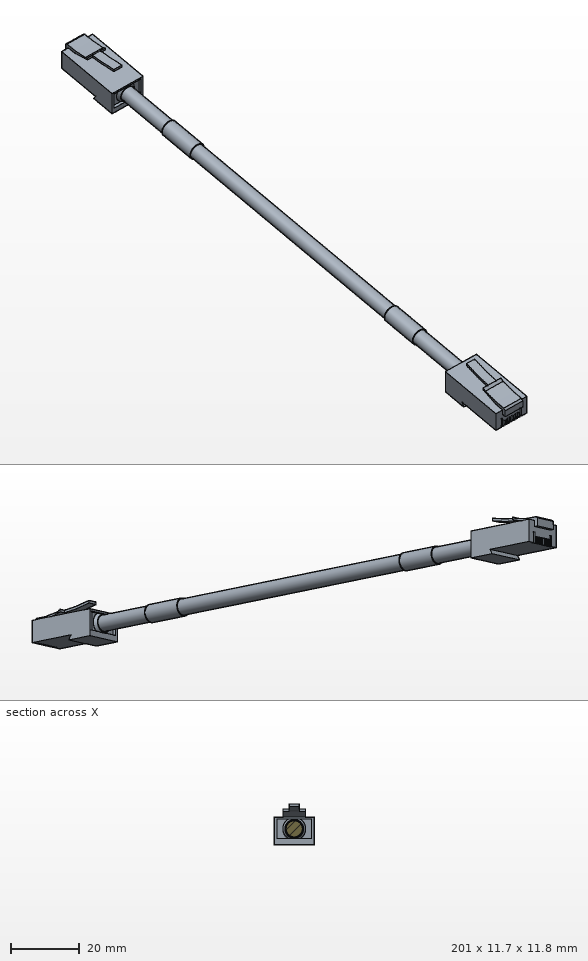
import cadquery as cq

half_length = 100.5

cable_diameter = 4.8
sleeve_diameter = 5.5
sleeve_start = 43.3
sleeve_length = 12.9

housing_width = 11.7
housing_top = 3.5
nose_bottom = -3.2
heel_bottom = -4.6
nose_face = 1.2
housing_rear = 24.3
heel_upper_start = 16.7
heel_lower_start = 15.9

pocket_wall = 0.8
pocket_top = 2.8
pocket_bottom = -2.8
pocket_depth = 1.0
collar_mouth_diameter = 5.2
collar_root_diameter = 6.6
pocket_floor = housing_rear - pocket_depth

latch_width = 6.6
lever_width = 3.0
latch_thickness = 0.8
latch_bottom = 1.6
latch_top = housing_top + 1.09
latch_chamfer_length = 0.7
latch_chamfer_height = 0.5
ramp_start = 4.0
ramp_end = 9.0
ramp_top = latch_top + 0.7
step_end = 10.0
step_top = ramp_top + 0.6
bend_start = 14.5
bend_top = step_top + 0.42
lever_end = 20.0
lever_top = 7.2

slot_count = 8
slot_pitch = 1.0
slot_width = 0.48
slot_height = 2.0
outer_slot_height = 3.2
slot_depth = 0.6


def make_tube(start, end, outer_diameter, inner_diameter=0.0):
    """Round bar or ring about the X axis from start to end."""
    inner_radius = inner_diameter / 2
    outer_radius = outer_diameter / 2
    profile = [(start, inner_radius), (end, inner_radius), (end, outer_radius), (start, outer_radius)]
    return cq.Workplane("XZ").polyline(profile).close().revolve(360, (0, 0), (1, 0))


def make_prism(points, width):
    """Side outline in the XZ plane, extruded symmetrically about the XZ plane."""
    return cq.Workplane("XZ").polyline(points).close().extrude(width / 2, both=True)


def make_housing():
    outline = [
        (nose_face, housing_top),
        (housing_rear, housing_top),
        (housing_rear, heel_bottom),
        (heel_lower_start, heel_bottom),
        (heel_upper_start, nose_bottom),
        (nose_face, nose_bottom),
    ]
    return make_prism(outline, housing_width)


def make_pocket():
    pocket = [
        (pocket_floor, pocket_top),
        (housing_rear, pocket_top),
        (housing_rear, pocket_bottom),
        (pocket_floor, pocket_bottom),
    ]
    return make_prism(pocket, housing_width - 2 * pocket_wall)


def make_collar():
    """Cone around the cable, widening from the rear of the housing to the pocket floor."""
    profile = [
        (pocket_floor, cable_diameter / 2),
        (housing_rear, cable_diameter / 2),
        (housing_rear, collar_mouth_diameter / 2),
        (pocket_floor, collar_root_diameter / 2),
    ]
    return cq.Workplane("XZ").polyline(profile).close().revolve(360, (0, 0), (1, 0))


def make_latch():
    base = [
        (0, latch_bottom),
        (0, latch_top - latch_chamfer_height),
        (latch_chamfer_length, latch_top),
        (ramp_start, latch_top),
        (ramp_end, ramp_top),
        (step_end, step_top),
        (step_end, step_top - latch_thickness),
        (ramp_start, housing_top),
        (nose_face, housing_top),
        (nose_face, latch_bottom),
    ]
    lever = [
        (step_end, step_top),
        (bend_start, bend_top),
        (lever_end, lever_top),
        (lever_end, lever_top - latch_thickness),
        (bend_start, bend_top - latch_thickness),
        (step_end, step_top - latch_thickness),
    ]
    return make_prism(base, latch_width).union(make_prism(lever, lever_width))


def make_contact_slots():
    slots = cq.Workplane("XY")
    for index in range(slot_count):
        is_outer = index in (0, slot_count - 1)
        height = outer_slot_height if is_outer else slot_height
        y = (index - (slot_count - 1) / 2) * slot_pitch
        slots = slots.union(
            cq.Workplane("XY")
            .box(slot_depth, slot_width, height, centered=(False, True, False))
            .translate((nose_face, y, nose_bottom))
        )
    return slots


def make_plug():
    """Plug with its tip at X = 0 and its cable side towards +X."""
    return (
        make_housing()
        .cut(make_pocket())
        .union(make_collar())
        .union(make_latch())
        .cut(make_contact_slots())
    )


cable_half_length = half_length - pocket_floor
cable = make_tube(-cable_half_length, cable_half_length, cable_diameter)

plugs = []
sleeves = []
for turn in (0, 180):
    about_z = ((0, 0, 0), (0, 0, 1), turn)
    plugs.append(make_plug().translate((-half_length, 0, 0)).rotate(*about_z))
    sleeve = make_tube(sleeve_start, sleeve_start + sleeve_length, sleeve_diameter, cable_diameter)
    sleeves.append(sleeve.translate((-half_length, 0, 0)).rotate(*about_z))

result = cq.Compound.makeCompound([body.val() for body in [cable, *sleeves, *plugs]])